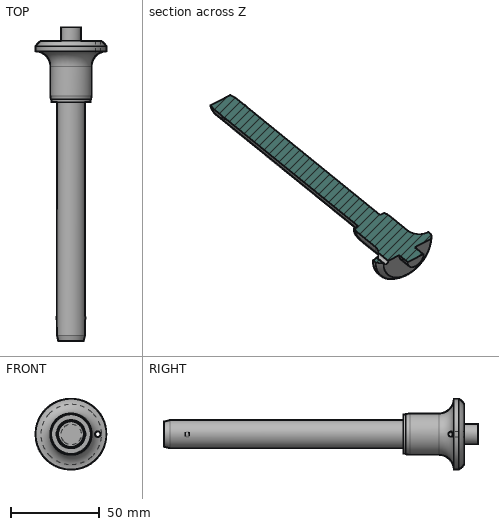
import cadquery as cq
import math

shank_diameter = 16.0
shank_length = 134.4
tip_diameter = 14.3
tip_length = 3.4

collar_diameter = 22.2
collar_length = 1.6
lip_length = 2.1
lip_end_diameter = 22.8
grip_diameter = 23.4
grip_length = 16.5
flange_diameter = 40.0
flange_band_width = 2.8
crown_height = 3.2
crown_inset = 3.0
crown_bulge = 0.25

button_diameter = 11.5
overall_length = 176.6

lanyard_hole_diameter = 3.0
lanyard_hole_offset = 15.1

ball_diameter = 6.0
ball_protrusion = 0.25
ball_distance_from_tip = 13.1

shank_radius = shank_diameter / 2
grip_radius = grip_diameter / 2
flange_radius = flange_diameter / 2
ball_radius = ball_diameter / 2
flare_radius = flange_radius - grip_radius

tip_y = -shank_length
ball_y = tip_y + ball_distance_from_tip
lip_y = collar_length
grip_y = lip_y + lip_length
flare_y = grip_y + grip_length
band_y = flare_y + flare_radius
crown_y = band_y + flange_band_width
back_y = crown_y + crown_height
button_y = overall_length - shank_length


def make_turned_body():
    """Shank, handle and button as one profile turned about the Y axis."""
    arc_step = math.sqrt(0.5)
    flare_mid = (
        flange_radius - flare_radius * arc_step,
        band_y - flare_radius * (1 - arc_step),
    )
    profile = (
        cq.Workplane("XY")
        .moveTo(0, tip_y)
        .lineTo(tip_diameter / 2, tip_y)
        .lineTo(shank_radius, tip_y + tip_length)
        .lineTo(shank_radius, 0)
        .lineTo(collar_diameter / 2, 0)
        .lineTo(collar_diameter / 2, lip_y)
        .lineTo(lip_end_diameter / 2, lip_y)
        .lineTo(grip_radius, grip_y)
        .lineTo(grip_radius, flare_y)
        .threePointArc(flare_mid, (flange_radius, band_y))
        .lineTo(flange_radius, crown_y)
        .sagittaArc((flange_radius - crown_inset, back_y), -crown_bulge)
        .lineTo(button_diameter / 2, back_y)
        .lineTo(button_diameter / 2, button_y)
        .lineTo(0, button_y)
        .close()
    )
    return profile.revolve(360, (0, 0, 0), (0, 1, 0))


def make_lanyard_hole():
    """Cutter parallel to Y, passing through the flange on the +X side."""
    return (
        cq.Workplane("XZ", origin=(lanyard_hole_offset, back_y, 0))
        .circle(lanyard_hole_diameter / 2)
        .extrude(back_y - flare_y)
    )


def make_ball(side):
    """Locking ball standing slightly proud of the shank; side is +1 or -1 in X."""
    ball_x = side * (shank_radius + ball_protrusion - ball_radius)
    return cq.Workplane("XY").sphere(ball_radius).translate((ball_x, ball_y, 0))


result = make_turned_body().cut(make_lanyard_hole())
for side in (-1, 1):
    result = result.union(make_ball(side))